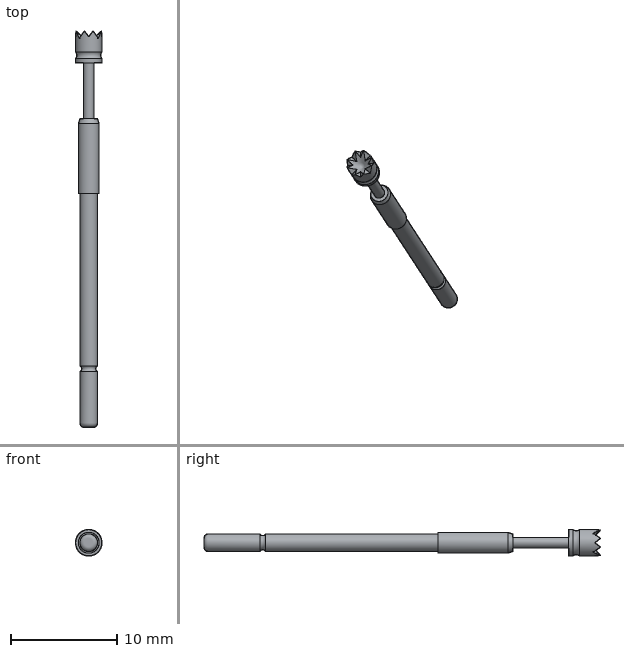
import cadquery as cq
import math


head_radius = 1.25
head_length = 3.0
head_groove_depth = 0.11
head_groove_start = 1.97
head_groove_end = 2.6
gap_half_angle = 38
gap_spacing_angle = 45
square_gap_spread = 19
diagonal_gap_spread = gap_spacing_angle - square_gap_spread
hollow_half_angle = 45

plunger_radius = 0.5

collar_start = 8.25
collar_end = 15.3
collar_radius = 0.98
collar_lead_length = 0.45
collar_lead_radius = 0.83

barrel_radius = 0.83
overall_length = 37.3
barrel_groove_start = 31.5
barrel_groove_end = 32.05
barrel_groove_depth = 0.15
barrel_end_rounding = 0.4


def cylinder(radius, start, end):
    """Round section about the Y axis between two stations."""
    return cq.Workplane("XZ", origin=(0, -start, 0)).circle(radius).extrude(end - start)


def rounded_groove(outer_radius, depth, start, end):
    """Ring with a circular-arc floor to remove for a shallow groove."""
    floor = (outer_radius - depth, -(start + end) / 2)
    profile = cq.Workplane("XY").moveTo(outer_radius, -start)
    profile = profile.threePointArc(floor, (outer_radius, -end)).close()
    return profile.revolve(360, (0, 0), (0, 1))


def tooth_gap(spread_angle, direction):
    """V groove across the whole head face, spanning the spread angle to each side at the rim."""
    half_width = head_radius * math.sin(math.radians(spread_angle))
    depth = half_width / math.tan(math.radians(gap_half_angle))
    profile = [(-half_width, 0), (half_width, 0), (0, -depth)]
    groove = cq.Workplane("XY").polyline(profile).close().extrude(head_radius, both=True)
    return groove.rotate((0, 0, 0), (0, 1, 0), direction)


def head_hollow():
    """Cone that opens out to the full head radius at the tooth tips."""
    depth = head_radius / math.tan(math.radians(hollow_half_angle))
    profile = cq.Workplane("XY").polyline([(0, 0), (head_radius, 0), (0, -depth)]).close()
    return profile.revolve(360, (0, 0), (0, 1))


def crown_head():
    head = cylinder(head_radius, 0, head_length)
    head = head.cut(rounded_groove(head_radius, head_groove_depth, head_groove_start, head_groove_end))
    head = head.cut(head_hollow())
    for turn in (0, 90):
        head = head.cut(tooth_gap(square_gap_spread, turn))
        head = head.cut(tooth_gap(diagonal_gap_spread, turn + gap_spacing_angle))
    return head


def collar():
    body = cylinder(collar_radius, collar_start, collar_end)
    lead_depth = collar_radius - collar_lead_radius
    return body.faces(">Y").chamfer(collar_lead_length, lead_depth)


def barrel():
    body = cylinder(barrel_radius, collar_end, overall_length)
    body = body.faces("<Y").edges().fillet(barrel_end_rounding)
    return body.cut(rounded_groove(barrel_radius, barrel_groove_depth, barrel_groove_start, barrel_groove_end))


plunger = cylinder(plunger_radius, head_length, collar_start)
result = crown_head().union(plunger).union(collar()).union(barrel())